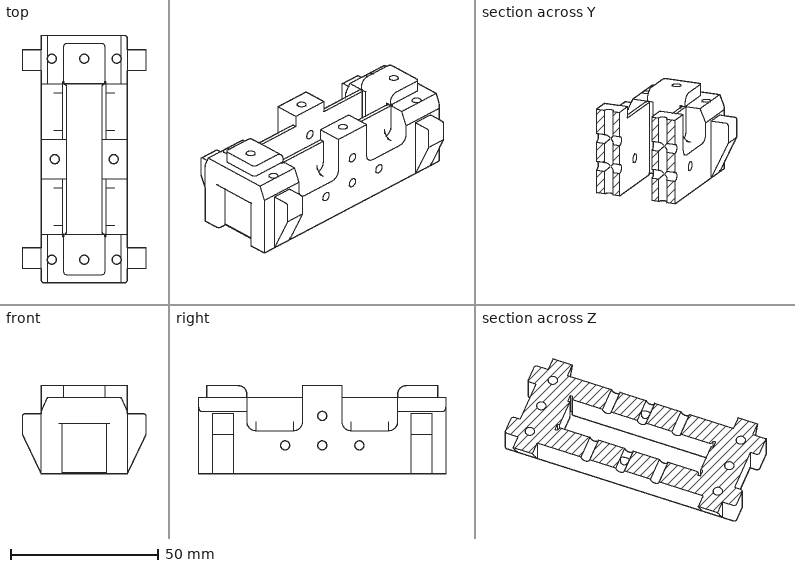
import cadquery as cq

body_length = 84.0
body_width = 29.2
deck_height = 25.95
edge_radius = 1.0
bevel_width = 2.1
bevel_height = 4.8

opening_width = 11.9
opening_length = 51.1
relief_inner = 5.0
relief_outer = 7.2
relief_depth = 0.75

large_radius = 3.0
wall_thickness = 1.35
window_floor = 14.6
post_length = 13.4

total_height = 30.0
pad_width = 13.95
pad_setback = 2.8

recess_width = 14.95
recess_height = 17.1
recess_depth = 3.0
recess_chamfer_height = 0.5
recess_chamfer_depth = 0.25

total_width = 42.0
lug_length = 7.1
lug_offset = 33.6
lug_top = 20.4
lug_radius = 0.8
lug_knee = 13.35

hole_diameter = 3.0
end_hole_offset = 34.1
deck_hole_offset = 11.0
post_hole_offset = 10.0
low_hole_height = 9.7
high_hole_height = 19.65
low_hole_pitch = 12.6

half_length = body_length / 2
half_width = body_width / 2
half_opening = opening_length / 2
half_post = post_length / 2
wall_outer = opening_width / 2 + wall_thickness


def box(x_range, y_range, z_range):
    """Axis-aligned box given by its limits along X, Y and Z."""
    (x0, x1), (y0, y1), (z0, z1) = x_range, y_range, z_range
    return cq.Workplane("XY").box(x1 - x0, y1 - y0, z1 - z0, centered=False).translate((x0, y0, z0))


def both_sides(shape):
    """The shape and its mirror image on the opposite long side."""
    return shape.union(shape.mirror("YZ"))


def both_ends(shape):
    """The shape and its mirror image at the opposite end."""
    return shape.union(shape.mirror("XZ"))


def make_body():
    """Bevelled block; the upright edge at -X, +Y stays sharp, the other three are rounded."""
    bevel_start = deck_height - bevel_height
    top_half_width = half_width - bevel_width
    bevelled = (
        cq.Workplane("XZ")
        .polyline([
            (-half_width, 0),
            (half_width, 0),
            (half_width, bevel_start),
            (top_half_width, deck_height),
            (-top_half_width, deck_height),
            (-half_width, bevel_start),
        ])
        .close()
        .extrude(half_length, both=True)
    )
    rounded = (
        cq.Workplane("XY")
        .rect(body_width, body_length)
        .extrude(deck_height)
        .edges("|Z and (>X or <Y)")
        .fillet(edge_radius)
    )
    return bevelled.intersect(rounded)


def make_opening():
    """Central through opening with rounded wall ends and a relief pocket in each corner."""
    half_width_inside = opening_width / 2
    core = box(
        (-half_width_inside, half_width_inside),
        (-half_opening, half_opening),
        (0, deck_height),
    )
    relief = box(
        (relief_inner, relief_outer),
        (half_opening, half_opening + relief_depth),
        (0, deck_height),
    )
    mouth = (
        cq.Workplane("XY")
        .moveTo(half_width_inside, half_opening - edge_radius)
        .radiusArc((half_width_inside + edge_radius, half_opening), edge_radius)
        .lineTo(half_width_inside, half_opening)
        .close()
        .extrude(deck_height)
    )
    return core.union(both_sides(both_ends(relief.union(mouth))))


def make_window():
    """Side pocket with round lower corners and a cove between its floor and the inner wall."""
    pocket = (
        box((wall_outer, half_width), (half_post, half_opening), (window_floor, total_height))
        .edges("|X and <Z")
        .fillet(large_radius)
    )
    cove_length = half_opening - half_post - 2 * large_radius
    cove = (
        cq.Workplane("XZ", origin=(wall_outer, half_post + large_radius, window_floor))
        .lineTo(large_radius, 0)
        .radiusArc((0, large_radius), large_radius)
        .close()
        .extrude(-cove_length)
    )
    return pocket.cut(cove)


def make_post():
    return box(
        (opening_width / 2, half_width),
        (-half_post, half_post),
        (window_floor, total_height),
    )


def make_pad():
    """Raised end pad, strongly rounded on its inner top edge."""
    return (
        box(
            (-pad_width / 2, pad_width / 2),
            (half_opening, half_length - pad_setback),
            (deck_height, total_height),
        )
        .edges("|Z and >Y").fillet(edge_radius)
        .edges("<Y and >Z").fillet(large_radius)
    )


def make_recess():
    """End recess open at the bottom, with rounded upright mouth edges and a chamfered lower edge."""
    half_recess = recess_width / 2
    back = half_length - recess_depth
    profile = (
        cq.Workplane("XY")
        .moveTo(-half_recess, back)
        .lineTo(half_recess, back)
        .lineTo(half_recess, half_length - edge_radius)
        .radiusArc((half_recess + edge_radius, half_length), edge_radius)
        .lineTo(-half_recess - edge_radius, half_length)
        .radiusArc((-half_recess, half_length - edge_radius), edge_radius)
        .close()
        .extrude(recess_height)
    )
    lower_edge = (
        cq.Workplane("YZ")
        .polyline([(back, 0), (back - recess_chamfer_depth, 0), (back, recess_chamfer_height)])
        .close()
        .extrude(half_recess, both=True)
    )
    return profile.union(lower_edge)


def make_lug():
    """Side lug tapering to nothing at the bottom, with a rounded outer top edge."""
    half_total = total_width / 2
    return (
        cq.Workplane("XZ", origin=(0, lug_offset, 0))
        .polyline([
            (wall_outer, 0),
            (half_width, 0),
            (half_total, lug_knee),
            (half_total, lug_top),
            (wall_outer, lug_top),
        ])
        .close()
        .extrude(lug_length / 2, both=True)
        .edges("|Y and >X and >Z")
        .fillet(lug_radius)
    )


def make_holes():
    """Vertical holes through deck, pads and posts, and cross holes through both side walls."""
    vertical_places = [(-post_hole_offset, 0), (post_hole_offset, 0)]
    for y in (-end_hole_offset, end_hole_offset):
        for x in (-deck_hole_offset, 0, deck_hole_offset):
            vertical_places.append((x, y))
    cross_places = [(y, low_hole_height) for y in (-low_hole_pitch, 0, low_hole_pitch)]
    cross_places.append((0, high_hole_height))

    vertical = cq.Workplane("XY").pushPoints(vertical_places).circle(hole_diameter / 2).extrude(total_height)
    cross = (
        cq.Workplane("YZ")
        .pushPoints(cross_places)
        .circle(hole_diameter / 2)
        .extrude(half_width, both=True)
    )
    return vertical.union(cross)


result = (
    make_body()
    .union(both_sides(both_ends(make_lug())))
    .cut(make_opening())
    .cut(both_sides(both_ends(make_window())))
    .union(both_sides(make_post()))
    .union(both_ends(make_pad()))
    .cut(both_ends(make_recess()))
    .cut(make_holes())
)